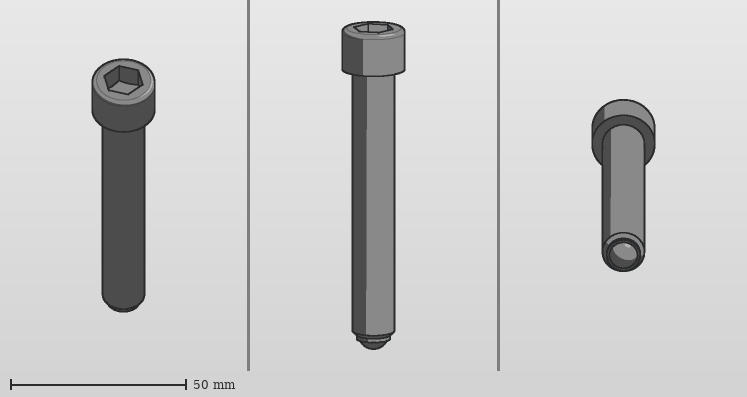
import cadquery as cq
import math

TOTAL_LENGTH = 94.0
HEAD_DIAMETER = 18.0
HEAD_HEIGHT = 12.0
HEAD_ROUND = 1.2
SHANK_DIAMETER = HEAD_HEIGHT

COLLAR_DIAMETER = 9.6
COLLAR_HEIGHT = 1.1
BALL_RADIUS = 4.2
BALL_PROTRUSION = 2.9

SOCKET_ACROSS_FLATS = 10.0
SOCKET_CORNER_DEPTH = 6.0
FLOOR_POINT_ANGLE = 120.0

head_radius = HEAD_DIAMETER / 2
shank_radius = SHANK_DIAMETER / 2
collar_radius = COLLAR_DIAMETER / 2
head_base_z = TOTAL_LENGTH - HEAD_HEIGHT
collar_top_z = BALL_PROTRUSION + COLLAR_HEIGHT
shank_end_z = collar_top_z + shank_radius - collar_radius


def make_ball():
    return cq.Workplane("XY").sphere(BALL_RADIUS).translate((0, 0, BALL_RADIUS))


def make_screw_blank():
    blank = (
        cq.Workplane("XZ")
        .moveTo(0, BALL_PROTRUSION)
        .lineTo(collar_radius, BALL_PROTRUSION)
        .lineTo(collar_radius, collar_top_z)
        .lineTo(shank_radius, shank_end_z)
        .lineTo(shank_radius, head_base_z)
        .lineTo(head_radius, head_base_z)
        .lineTo(head_radius, TOTAL_LENGTH)
        .lineTo(0, TOTAL_LENGTH)
        .close()
        .revolve(360, (0, 0, 0), (0, 1, 0))
    )
    return blank.faces(">Z").edges().fillet(HEAD_ROUND)


def make_socket():
    """Hexagonal prism whose floor is a cone running through its corners."""
    corner_radius = SOCKET_ACROSS_FLATS / math.sqrt(3)
    cone_height = corner_radius / math.tan(math.radians(FLOOR_POINT_ANGLE / 2))
    corner_z = TOTAL_LENGTH - SOCKET_CORNER_DEPTH
    drilled_hole = (
        cq.Workplane("XZ")
        .moveTo(0, corner_z - cone_height)
        .lineTo(corner_radius, corner_z)
        .lineTo(corner_radius, TOTAL_LENGTH)
        .lineTo(0, TOTAL_LENGTH)
        .close()
        .revolve(360, (0, 0, 0), (0, 1, 0))
    )
    hexagon = (
        cq.Workplane("XY", origin=(0, 0, TOTAL_LENGTH))
        .polygon(6, 2 * corner_radius)
        .extrude(-SOCKET_CORNER_DEPTH - cone_height)
    )
    return hexagon.intersect(drilled_hole)


ball = make_ball()
screw = make_screw_blank().cut(make_socket()).cut(ball)

result = cq.Compound.makeCompound([screw.val(), ball.val()])